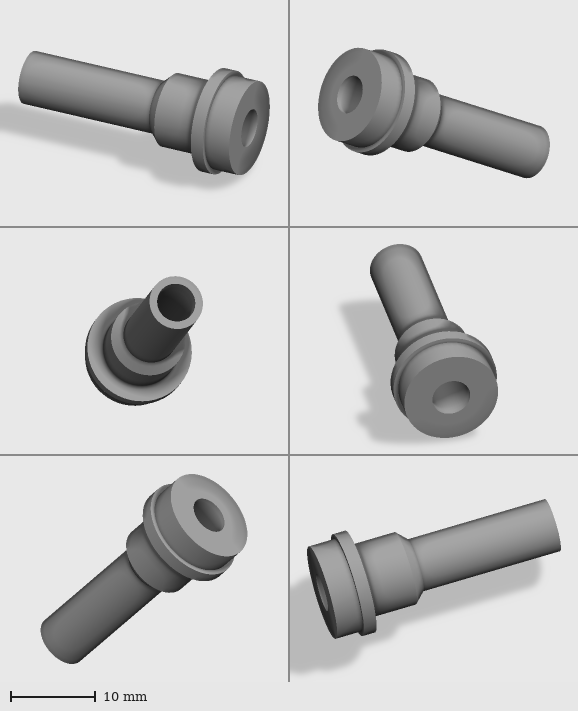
import cadquery as cq

tube_length = 17.0
cone_length = 1.27
body_length = 5.6
flange_length = 1.55
spigot_length = 3.15

bore_diameter = 4.57
tube_diameter = 6.4
body_diameter = 8.9
flange_diameter = 12.51
spigot_diameter = 11.35

fillet_radius = 0.4

cone_start = tube_length
cone_end = cone_start + cone_length
flange_start = cone_end + body_length
flange_end = flange_start + flange_length
rear_end = flange_end + spigot_length

bore_radius = bore_diameter / 2
tube_radius = tube_diameter / 2
body_radius = body_diameter / 2
flange_radius = flange_diameter / 2
spigot_radius = spigot_diameter / 2


def half_section():
    """Closed half profile of the sleeve: X is the axis, Z is the radius."""
    return (
        cq.Workplane("XZ")
        .moveTo(0, bore_radius)
        .lineTo(0, tube_radius)
        .lineTo(cone_start, tube_radius)
        .lineTo(cone_end, body_radius)
        .lineTo(flange_start - fillet_radius, body_radius)
        .radiusArc((flange_start, body_radius + fillet_radius), -fillet_radius)
        .lineTo(flange_start, flange_radius)
        .lineTo(flange_end, flange_radius)
        .lineTo(flange_end, spigot_radius)
        .lineTo(rear_end, spigot_radius)
        .lineTo(rear_end, bore_radius)
        .close()
    )


result = half_section().revolve(360, (0, 0, 0), (1, 0, 0))